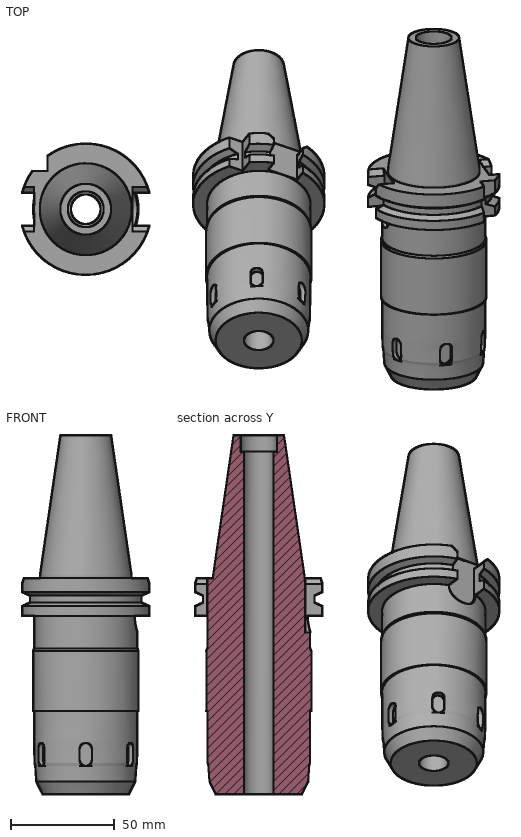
import cadquery as cq

HEIGHT = 173.4
NOSE_CHAMFER_TOP = 6.2
NOSE_TOP = 13.7
NUT_STEP_TOP = 15.0
NUT_CONE_TOP = 25.7
BAND_BOTTOM = 40.2
BAND_TOP = 70.4
FLANGE_BOTTOM = 86.2
FLANGE_TOP = 104.4
GAUGE_LEVEL = 105.5

NOSE_FACE_RADIUS = 20.8
NOSE_CHAMFER_RADIUS = 24.0
NOSE_RADIUS = 24.5
NUT_RADIUS = 24.8
BODY_RADIUS = 25.0
BAND_RADIUS = 25.5
BAND_CHAMFER_HEIGHT = 1.2
FLANGE_RADIUS = 31.7
GAUGE_RADIUS = 22.2
TAPER_RATIO = 7 / 24

GROOVE_ROOT_RADIUS = 28.1
GROOVE_LOWER_EDGE = 90.9
GROOVE_UPPER_EDGE = 97.6
GROOVE_FLANK_HEIGHT = 1.7

BORE_RADIUS = 7.1
COUNTERBORE_RADIUS = 8.7
COUNTERBORE_DEPTH = 8.0

SLOT_WIDTH = 15.8
SLOT_CHAMFER = 2.8
SHALLOW_SLOT_FLOOR = BODY_RADIUS
DEEP_SLOT_FLOOR = 22.5

NOTCH_INNER_X = -18.5
NOTCH_INNER_Y = 18.5

POCKET_COUNT = 6
POCKET_WIDTH = 5.9
POCKET_HEIGHT = 11.1
POCKET_CENTER_Z = 19.2
POCKET_FLOOR_RADIUS = 22.0

flange_height = FLANGE_TOP - FLANGE_BOTTOM


def turned_body():
    taper_tip_radius = GAUGE_RADIUS - (HEIGHT - GAUGE_LEVEL) * TAPER_RATIO / 2
    outline = [
        (0, 0),
        (NOSE_FACE_RADIUS, 0),
        (NOSE_CHAMFER_RADIUS, NOSE_CHAMFER_TOP),
        (NOSE_RADIUS, NOSE_TOP),
        (NUT_RADIUS, NUT_STEP_TOP),
        (BODY_RADIUS, NUT_CONE_TOP),
        (BODY_RADIUS, BAND_BOTTOM),
        (BAND_RADIUS, BAND_BOTTOM),
        (BAND_RADIUS, BAND_TOP - BAND_CHAMFER_HEIGHT),
        (BODY_RADIUS, BAND_TOP),
        (BODY_RADIUS, FLANGE_BOTTOM),
        (FLANGE_RADIUS, FLANGE_BOTTOM),
        (FLANGE_RADIUS, GROOVE_LOWER_EDGE),
        (GROOVE_ROOT_RADIUS, GROOVE_LOWER_EDGE + GROOVE_FLANK_HEIGHT),
        (GROOVE_ROOT_RADIUS, GROOVE_UPPER_EDGE - GROOVE_FLANK_HEIGHT),
        (FLANGE_RADIUS, GROOVE_UPPER_EDGE),
        (FLANGE_RADIUS, FLANGE_TOP),
        (GAUGE_RADIUS, FLANGE_TOP),
        (GAUGE_RADIUS, GAUGE_LEVEL),
        (taper_tip_radius, HEIGHT),
        (0, HEIGHT),
    ]
    return cq.Workplane("XZ").polyline(outline).close().revolve(360, (0, 0), (0, 1))


def stepped_bore():
    bore = cq.Workplane("XY").circle(BORE_RADIUS).extrude(HEIGHT)
    counterbore = (
        cq.Workplane("XY")
        .workplane(offset=HEIGHT - COUNTERBORE_DEPTH)
        .circle(COUNTERBORE_RADIUS)
        .extrude(COUNTERBORE_DEPTH)
    )
    return bore.union(counterbore)


def drive_slot(floor, round_end):
    """Slot cutter on the +X side, from the floor distance out past the flange rim."""
    half = SLOT_WIDTH / 2
    outline = (
        cq.Workplane("YZ")
        .workplane(offset=floor)
        .moveTo(half, FLANGE_BOTTOM)
        .lineTo(half, FLANGE_TOP - SLOT_CHAMFER)
        .lineTo(half + SLOT_CHAMFER, FLANGE_TOP)
        .lineTo(-half - SLOT_CHAMFER, FLANGE_TOP)
        .lineTo(-half, FLANGE_TOP - SLOT_CHAMFER)
        .lineTo(-half, FLANGE_BOTTOM)
    )
    if round_end:
        outline = outline.threePointArc((0, FLANGE_BOTTOM - half), (half, FLANGE_BOTTOM))
    else:
        outline = outline.close()
    return outline.wire().extrude(FLANGE_RADIUS - floor)


def orientation_notch():
    return (
        cq.Workplane("XY")
        .workplane(offset=FLANGE_BOTTOM)
        .moveTo(NOTCH_INNER_X, NOTCH_INNER_Y)
        .rect(-FLANGE_RADIUS - NOTCH_INNER_X, FLANGE_RADIUS - NOTCH_INNER_Y, centered=False)
        .extrude(flange_height)
    )


def wrench_pocket(angle):
    """Upright flat-bottomed pocket cutter, turned from the -Y direction about the axis."""
    return (
        cq.Workplane("XZ")
        .workplane(offset=POCKET_FLOOR_RADIUS)
        .center(0, POCKET_CENTER_Z)
        .slot2D(POCKET_HEIGHT, POCKET_WIDTH, 90)
        .extrude(BAND_RADIUS - POCKET_FLOOR_RADIUS)
        .rotate((0, 0, 0), (0, 0, 1), angle)
    )


result = turned_body().cut(stepped_bore())
result = result.cut(drive_slot(DEEP_SLOT_FLOOR, round_end=True))
shallow_slot = drive_slot(SHALLOW_SLOT_FLOOR, round_end=False)
result = result.cut(shallow_slot.rotate((0, 0, 0), (0, 0, 1), 180))
result = result.cut(orientation_notch())
for index in range(POCKET_COUNT):
    result = result.cut(wrench_pocket(index * 360 / POCKET_COUNT))